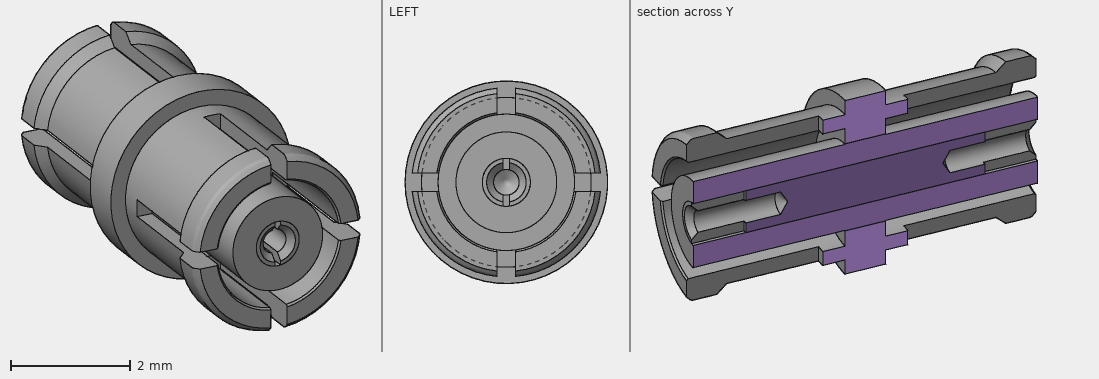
import cadquery as cq
import math


length = 6.5
half_length = length / 2
flange_diameter = 3.4
flange_radius = flange_diameter / 2
flange_width = 0.76
barrel_radius = 1.425
lip_radius = 1.585
lip_width = 0.565
lip_taper_width = 0.18
lip_chamfer = 0.09
lip_chamfer_angle = math.radians(45)
lip_edge_round = 0.105

bore_radius = 1.145
bore_chamfer = 0.03
web_width = flange_width

slot_width = 0.305
slot_depth = 2.46

insulator_radius = 0.845
insulator_inset = 0.049
insulator_length = length - 2 * insulator_inset

contact_radius = 0.4
contact_bore_radius = 0.215
contact_mouth_radius = 0.33
contact_mouth_depth = contact_mouth_radius - contact_bore_radius
contact_bore_depth = 1.625
drill_tip_angle = 118.0
drill_tip_depth = contact_bore_radius / math.tan(math.radians(drill_tip_angle / 2))
contact_slot_width = 0.105
contact_slot_depth = 0.975


def revolve_about_x(outline):
    """Turn a closed (x, radius) outline drawn in the XY plane about the X axis."""
    return outline.close().revolve(360, (0, 0, 0), (1, 0, 0))


def rod(radius, rod_length):
    """Cylinder along X, centred on the origin."""
    return cq.Workplane("YZ").circle(radius).extrude(rod_length / 2, both=True)


def at_both_ends(cutter):
    """Return a cutter made for the -X end together with its mirror copy at the +X end."""
    return [cutter, cutter.mirror("YZ")]


def end_block(depth, size_y, size_z, end_x):
    """Block that reaches from the plane x = end_x into the part by depth."""
    return cq.Workplane("XY").box(depth, size_y, size_z).translate((end_x + depth / 2, 0, 0))


def shell_blank():
    """Solid turned outline of the shell, with a lip at each end and a central flange."""
    tangent = lip_edge_round * math.tan(lip_chamfer_angle / 2)
    tangent_x = tangent * math.cos(lip_chamfer_angle)
    tangent_r = tangent * math.sin(lip_chamfer_angle)
    corner_x = -half_length + lip_chamfer
    arc_centre_x = corner_x + tangent
    arc_centre_r = lip_radius - lip_edge_round
    arc_middle = (
        arc_centre_x - lip_edge_round * math.sin(lip_chamfer_angle / 2),
        arc_centre_r + lip_edge_round * math.cos(lip_chamfer_angle / 2),
    )
    taper_start_x = -half_length + lip_width

    half_outline = (
        cq.Workplane("XY")
        .moveTo(-half_length, 0)
        .lineTo(-half_length, lip_radius - lip_chamfer)
        .lineTo(corner_x - tangent_x, lip_radius - tangent_r)
        .threePointArc(arc_middle, (arc_centre_x, lip_radius))
        .lineTo(taper_start_x, lip_radius)
        .lineTo(taper_start_x + lip_taper_width, barrel_radius)
        .lineTo(0, barrel_radius)
        .lineTo(0, 0)
    )
    half = revolve_about_x(half_outline)
    flange = rod(flange_radius, flange_width)
    return half.union(half.mirror("YZ")).union(flange)


def shell_bore():
    """Cutter for the chamfered bore at the -X end."""
    outline = (
        cq.Workplane("XY")
        .moveTo(-half_length, 0)
        .lineTo(-half_length, bore_radius + bore_chamfer)
        .lineTo(-half_length + bore_chamfer, bore_radius)
        .lineTo(-web_width / 2, bore_radius)
        .lineTo(-web_width / 2, 0)
    )
    return revolve_about_x(outline)


def make_shell():
    body = shell_blank()
    across = 2 * flange_radius
    flat_slot = end_block(slot_depth, across, slot_width, -half_length)
    upright_slot = end_block(slot_depth, slot_width, across, -half_length)
    for end_cutter in (shell_bore(), flat_slot, upright_slot):
        for cutter in at_both_ends(end_cutter):
            body = body.cut(cutter)
    return body.cut(rod(insulator_radius, length))


def make_insulator():
    body = rod(insulator_radius, insulator_length)
    return body.cut(rod(contact_radius, insulator_length))


def contact_bore():
    """Cutter for the countersunk blind hole, with a drill tip, at the -X end."""
    end_x = -insulator_length / 2
    bore_end_x = end_x + contact_bore_depth
    outline = (
        cq.Workplane("XY")
        .moveTo(end_x, 0)
        .lineTo(end_x, contact_mouth_radius)
        .lineTo(end_x + contact_mouth_depth, contact_bore_radius)
        .lineTo(bore_end_x, contact_bore_radius)
        .lineTo(bore_end_x + drill_tip_depth, 0)
    )
    return revolve_about_x(outline)


def make_contact():
    body = rod(contact_radius, insulator_length)
    slot = end_block(contact_slot_depth, contact_slot_width, 2 * contact_radius, -insulator_length / 2)
    for end_cutter in (contact_bore(), slot):
        for cutter in at_both_ends(end_cutter):
            body = body.cut(cutter)
    return body


shell = make_shell()
insulator = make_insulator()
contact = make_contact()

result = cq.Compound.makeCompound(
    [shell.solids().val(), insulator.solids().val(), contact.solids().val()]
)